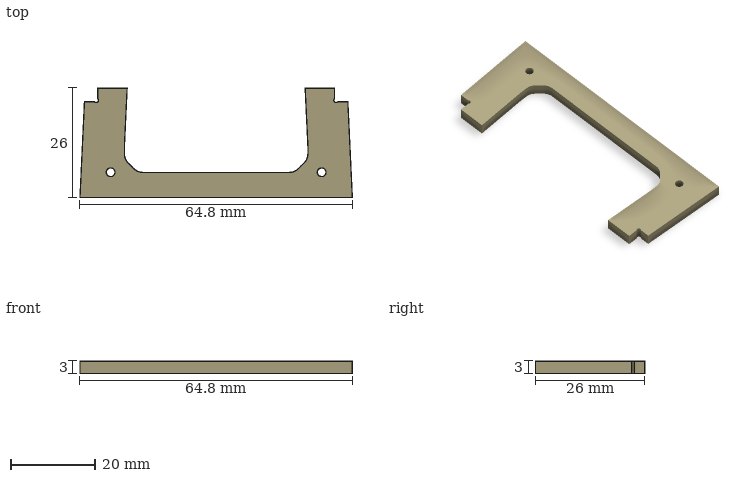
import cadquery as cq

base_width = 64.75
depth = 26.0
thickness = 3.0

shoulder_width = 62.6
shoulder_y = 22.8
tab_outer_x = 28.15
tab_inner_x = 21.1

opening_half_width = 21.75
taper_end_y = 12.3
floor_y = 6.0
corner_cut = 3.1
corner_radius = 3.0

relief_radius = 0.5
relief_offset = 0.3

hole_diameter = 2.0
hole_spacing = 50.1


def make_blank():
    """Symmetric plate with tapered flanks and a tab at the end of each arm."""
    right_side = [
        (base_width / 2, 0),
        (shoulder_width / 2, shoulder_y),
        (tab_outer_x, shoulder_y),
        (tab_outer_x, depth),
    ]
    left_side = [(-x, y) for x, y in reversed(right_side)]
    return cq.Workplane("XY").polyline(right_side + left_side).close().extrude(thickness)


def make_opening():
    """Cutter for the opening, with rounded ends on its diagonal corners."""
    right_side = [
        (opening_half_width - corner_cut, floor_y),
        (opening_half_width, floor_y + corner_cut),
        (opening_half_width, taper_end_y),
        (tab_inner_x, depth),
    ]
    left_side = [(-x, y) for x, y in reversed(right_side)]
    cutter = cq.Workplane("XY").polyline(right_side + left_side).close().extrude(thickness)
    lower_edges = cq.selectors.BoxSelector(
        (-base_width, 0, -thickness),
        (base_width, (floor_y + corner_cut + taper_end_y) / 2, 2 * thickness),
    )
    return cutter.edges("|Z").edges(lower_edges).fillet(corner_radius)


def make_cylinders(half_spacing, y, radius):
    """Mirrored pair of vertical cylinders through the plate."""
    centers = [(-half_spacing, y), (half_spacing, y)]
    return cq.Workplane("XY").pushPoints(centers).circle(radius).extrude(thickness)


corner_reliefs = make_cylinders(
    tab_outer_x + relief_offset, shoulder_y + relief_offset, relief_radius
)
holes = make_cylinders(hole_spacing / 2, floor_y, hole_diameter / 2)

result = make_blank().cut(make_opening()).cut(corner_reliefs).cut(holes)